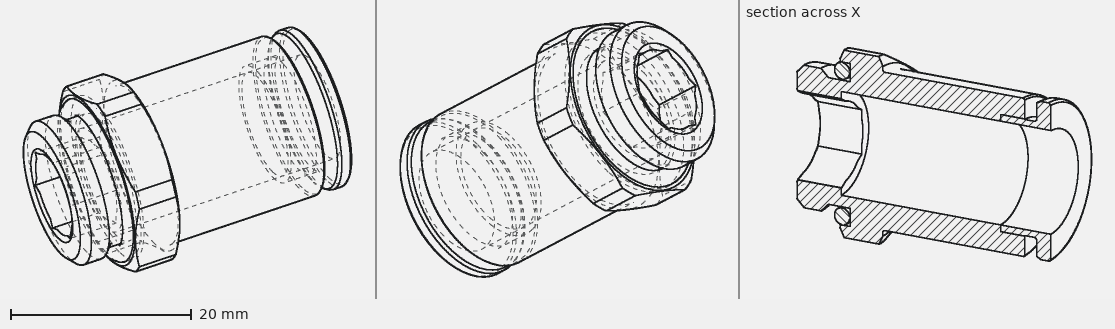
import cadquery as cq
import math


total_length = 32.4
hex_start = 5.5
hex_end = 11.0
body_end = 29.08

thread_radius = 8.38
thread_chamfer = 0.93
thread_end = 3.1
neck_radius = 7.45
neck_fillet = 0.3
neck_start = thread_end + (thread_radius - neck_radius)

hex_across_flats = 20.0
hex_corner_radius = 11.0
hex_chamfer_radius = 9.93
hex_chamfer_length = 0.52

barrel_radius = 9.3
barrel_chamfer = 0.2
barrel_root_fillet = 0.2

seal_section_radius = 1.0
seal_center_radius = 8.52
seal_front = 4.77
seal_center = seal_front + seal_section_radius
groove_floor = seal_front + 2 * seal_section_radius
groove_outer_radius = seal_center_radius + seal_section_radius

socket_across_flats = 9.0
socket_round_radius = 4.75
socket_mouth_radius = 5.45
socket_mouth_angle = 20.0
socket_end = 5.7

tube_bore_radius = 6.05
collar_neck_radius = 6.83
collar_seat = 26.0
flange_radius = barrel_radius
flange_start = total_length - 1.87
flange_edge_chamfer = 0.27
flange_taper_start = total_length - 1.32
flange_taper_end = total_length - 1.73
flange_taper_radius = 9.05
flange_corner_fillet = flange_taper_end - flange_start
flange_root_fillet = 0.28


def revolve_about_y(profile):
    """Close a (radius, Y) profile drawn on the XY plane and spin it about the Y axis."""
    return profile.close().revolve(360, (0, 0, 0), (0, 1, 0))


def cylinder(radius, start, end):
    """Round bar on the Y axis between two Y stations."""
    return extrude_along_y(cq.Workplane("XZ").circle(radius), start, end)


def extrude_along_y(sketch, start, end):
    """Extrude an XZ outline between two Y stations."""
    return sketch.extrude(start - end).translate((0, start, 0))


def hexagon(across_flats):
    """Hexagon outline on XZ with flats facing +X and -X, corners at +Z and -Z."""
    corner_radius = across_flats / math.sqrt(3)
    corner_angles = [math.radians(30 + 60 * i) for i in range(6)]
    corners = [(corner_radius * math.cos(a), corner_radius * math.sin(a)) for a in corner_angles]
    return cq.Workplane("XZ").polyline(corners).close()


def make_spigot():
    """Threaded end with lead-in chamfer, run-out cone and plain neck, reaching into the hexagon."""
    run_out_angle = math.radians(45)
    tangent = neck_fillet * math.tan(run_out_angle / 2)
    cone_shift = tangent * math.sin(run_out_angle)
    profile = (
        cq.Workplane("XY")
        .moveTo(0, 0)
        .lineTo(thread_radius - thread_chamfer, 0)
        .lineTo(thread_radius, thread_chamfer)
        .lineTo(thread_radius, thread_end)
        .lineTo(neck_radius + cone_shift, neck_start - cone_shift)
        .radiusArc((neck_radius, neck_start + tangent), neck_fillet)
        .lineTo(neck_radius, hex_end)
        .lineTo(0, hex_end)
    )
    return revolve_about_y(profile)


def make_wrench_hexagon():
    """Hexagon with turned corners, chamfered on both faces and grooved for the seal."""
    blank = extrude_along_y(hexagon(hex_across_flats), hex_start, hex_end)
    turned = (
        cq.Workplane("XY")
        .moveTo(0, hex_start)
        .lineTo(hex_chamfer_radius, hex_start)
        .lineTo(hex_corner_radius, hex_start + hex_chamfer_length)
        .lineTo(hex_corner_radius, hex_end - hex_chamfer_length)
        .lineTo(hex_chamfer_radius, hex_end)
        .lineTo(0, hex_end)
    )
    seal_groove = cylinder(groove_outer_radius, hex_start, groove_floor)
    return blank.intersect(revolve_about_y(turned)).cut(seal_groove)


def make_barrel():
    """Round barrel behind the hexagon, filleted at its root and chamfered at its rim."""
    profile = (
        cq.Workplane("XY")
        .moveTo(0, hex_end)
        .lineTo(barrel_radius + barrel_root_fillet, hex_end)
        .radiusArc((barrel_radius, hex_end + barrel_root_fillet), barrel_root_fillet)
        .lineTo(barrel_radius, body_end - barrel_chamfer)
        .lineTo(barrel_radius - barrel_chamfer, body_end)
        .lineTo(0, body_end)
    )
    return revolve_about_y(profile)


def make_body_bore():
    """Everything removed along the axis: key socket with its mouth, tube bore and collar seat."""
    socket_hexagon = extrude_along_y(hexagon(socket_across_flats), 0, socket_end)
    socket_round = cylinder(socket_round_radius, 0, socket_end)
    cone_depth = socket_mouth_radius * math.tan(math.radians(socket_mouth_angle))
    mouth = (
        cq.Workplane("XY")
        .lineTo(socket_mouth_radius, 0)
        .lineTo(0, cone_depth)
    )
    return (
        socket_hexagon
        .union(socket_round)
        .union(revolve_about_y(mouth))
        .union(cylinder(tube_bore_radius, socket_end, collar_seat))
        .union(cylinder(collar_neck_radius, collar_seat, body_end))
    )


def make_body():
    outside = make_spigot().union(make_wrench_hexagon()).union(make_barrel())
    return outside.cut(make_body_bore())


def make_seal_ring():
    """O-ring seated around the neck, standing proud of the hexagon face."""
    section = cq.Workplane("XY").center(seal_center_radius, seal_center).circle(seal_section_radius)
    return section.revolve(360, (-seal_center_radius, 0, 0), (-seal_center_radius, 1, 0))


def make_release_collar():
    """Flanged sleeve sliding in the barrel mouth, bored through for the tube."""
    profile = (
        cq.Workplane("XY")
        .moveTo(tube_bore_radius, collar_seat)
        .lineTo(collar_neck_radius, collar_seat)
        .lineTo(collar_neck_radius, flange_start - flange_root_fillet)
        .radiusArc((collar_neck_radius + flange_root_fillet, flange_start), flange_root_fillet)
        .lineTo(flange_taper_radius - flange_corner_fillet, flange_start)
        .radiusArc((flange_taper_radius, flange_taper_end), -flange_corner_fillet)
        .lineTo(flange_radius, flange_taper_start)
        .lineTo(flange_radius, total_length - flange_edge_chamfer)
        .lineTo(flange_radius - flange_edge_chamfer, total_length)
        .lineTo(tube_bore_radius, total_length)
    )
    return revolve_about_y(profile)


body = make_body()
seal_ring = make_seal_ring()
release_collar = make_release_collar()

result = cq.Compound.makeCompound([*body.solids().vals(), seal_ring.val(), release_collar.val()])